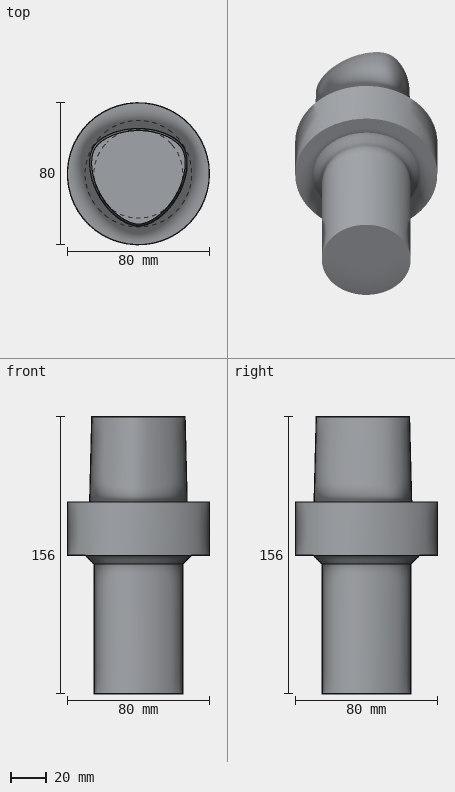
import cadquery as cq
import math

FLANGE_DIAMETER = 80.0
FLANGE_HEIGHT = 30.0
NECK_TOP_DIAMETER = 60.0
NECK_HEIGHT = 5.0
BAR_DIAMETER = 50.0
BAR_LENGTH = 73.0
LOBES = 3
POLYGON_HEIGHT = 48.0
POLYGON_BASE_WIDTH = 55.0
POLYGON_ECCENTRICITY = 2.0
POLYGON_TAPER = 1 / 20
CURVE_POINTS = 72


def polygon_section(width):
    """Points on a three-lobed curve of constant width, with one lobe pointing to -Y.

    The tangent line whose normal is turned by `angle` from -Y lies at the distance
    width / 2 + eccentricity * cos(LOBES * angle) from the axis.
    """
    points = []
    for index in range(CURVE_POINTS):
        angle = 2 * math.pi * index / CURVE_POINTS
        distance = width / 2 + POLYGON_ECCENTRICITY * math.cos(LOBES * angle)
        slope = -LOBES * POLYGON_ECCENTRICITY * math.sin(LOBES * angle)
        x = distance * math.sin(angle) + slope * math.cos(angle)
        y = slope * math.sin(angle) - distance * math.cos(angle)
        points.append((x, y))
    return points


def revolved_body():
    """Flange, conical neck and cylindrical bar, turned about Z."""
    flange_radius = FLANGE_DIAMETER / 2
    bar_radius = BAR_DIAMETER / 2
    neck_top = -FLANGE_HEIGHT
    neck_bottom = neck_top - NECK_HEIGHT
    bar_bottom = neck_bottom - BAR_LENGTH
    return (
        cq.Workplane("XZ")
        .moveTo(0, 0)
        .lineTo(flange_radius, 0)
        .lineTo(flange_radius, neck_top)
        .lineTo(NECK_TOP_DIAMETER / 2, neck_top)
        .lineTo(bar_radius, neck_bottom)
        .lineTo(bar_radius, bar_bottom)
        .lineTo(0, bar_bottom)
        .close()
        .revolve(360, (0, 0, 0), (0, 1, 0))
    )


def polygon_shank():
    """Tapered three-lobed shank standing on the flange."""
    top_width = POLYGON_BASE_WIDTH - POLYGON_TAPER * POLYGON_HEIGHT
    return (
        cq.Workplane("XY")
        .spline(polygon_section(POLYGON_BASE_WIDTH), periodic=True)
        .close()
        .workplane(offset=POLYGON_HEIGHT)
        .spline(polygon_section(top_width), periodic=True)
        .close()
        .loft(ruled=True)
    )


result = revolved_body().union(polygon_shank())